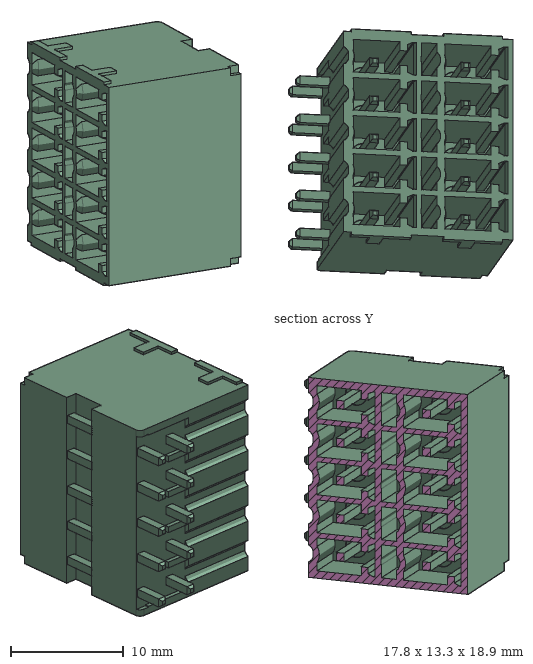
import cadquery as cq


width = 15.25
depth = 13.3
total_height = 18.9
tab_thickness = 0.25
height = total_height - 2 * tab_thickness
half_height = height / 2

row_count = 5
row_pitch = 3.5
column_pitch = 8.24
first_row_height = -(row_count - 1) / 2 * row_pitch
row_heights = [first_row_height + row * row_pitch for row in range(row_count)]
column_offsets = [0, column_pitch]

cavity_depth = 7.33
cavity_half_height = 1.5
cavity_left = 0.87
key_left = 5.05
key_right = 5.75
key_half_gap = 0.68
latch_half_height = 1.27
latch_full_height_x = 6.24
cavity_right = 6.35
lead_in_width = 0.19
lead_in_depth = 0.38

groove_center = -0.4
groove_radius = 0.89
groove_floor = 0.42
bulge_front_radius = 1.32
bulge_radius = 1.47
bulge_taper_depth = 0.57

pocket_left = 7.01
pocket_right = 8.41

pin_x = 3.06
pin_size = 0.8
pin_tip_size = pin_size / 2
tail_taper = 0.26
contact_taper = 0.5
pin_front = 1.32
pin_protrusion = 2.55
back_pin_y = 12.8
seat_radius = 1.0
seat_depth = 0.19

tab_spans = [(0.72, 6.09), (9.02, 14.3)]
tab_bar_depth = 0.74
tab_stem_left = 2.48
tab_stem_width = 1.21
tab_stem_end = 2.57

recess_depth = groove_floor
recess_margin = 0.72
recess_back_margin = 0.65
recess_step_y = 12.23
finger_thickness = 0.57
finger_end = 9.79

slot_left = 6.15
slot_right = 9.34
slot_depth = 1.13
corner_radius = 0.51
corner_notch_width = 0.5
corner_notch_depth = 1.05
corner_notch_height = 0.72


def box(x_range, y_range, z_range):
    """Axis-aligned box between the given limits."""
    sizes = [high - low for low, high in (x_range, y_range, z_range)]
    corner = (x_range[0], y_range[0], z_range[0])
    return cq.Workplane("XY").box(*sizes, centered=False).translate(corner)


def rod(x, z, radius, length):
    """Cylinder along Y that starts at the mating face."""
    return cq.Workplane("XZ").center(x, z).circle(radius).extrude(-length)


def make_housing():
    """Block with its back edge worked: rounded corner, slot, corner notches."""
    body = box((0, width), (0, depth), (-half_height, half_height))
    body = body.edges("|Z and <X and >Y").fillet(corner_radius)
    body = body.cut(box((slot_left, slot_right), (depth - slot_depth, depth), (-half_height, half_height)))
    notch = box(
        (width - corner_notch_width, width),
        (depth - corner_notch_depth, depth),
        (half_height - corner_notch_height, half_height),
    )
    return body.cut(notch).cut(notch.mirror("XY"))


def make_tabs():
    """T-shaped tabs on the top face, mirrored onto the bottom face."""
    z_range = (half_height, half_height + tab_thickness)
    tabs = cq.Workplane("XY")
    for span, offset in zip(tab_spans, column_offsets):
        stem_left = tab_stem_left + offset
        tabs = tabs.union(box(span, (0, tab_bar_depth), z_range))
        tabs = tabs.union(box((stem_left, stem_left + tab_stem_width), (0, tab_stem_end), z_range))
    return tabs.union(tabs.mirror("XY"))


def make_side_recess():
    """Shallow recess around the pin exits, leaving a finger between rows."""
    z_limit = half_height - recess_margin
    z_back_limit = half_height - recess_back_margin
    recess = box((0, recess_depth), (cavity_depth, depth), (-z_limit, z_limit))
    recess = recess.union(box((0, recess_depth), (recess_step_y, depth), (-z_back_limit, z_back_limit)))
    for lower, upper in zip(row_heights, row_heights[1:]):
        middle = (lower + upper) / 2
        z_range = (middle - finger_thickness / 2, middle + finger_thickness / 2)
        recess = recess.cut(box((0, recess_depth), (cavity_depth, finger_end), z_range))
    return recess


def make_cavity():
    """Cutter for one first-column cavity centred on Z = 0."""
    upper = [
        (cavity_left, cavity_half_height),
        (key_left, cavity_half_height),
        (key_left, key_half_gap),
        (key_right, key_half_gap),
        (key_right, latch_half_height),
        (latch_full_height_x, cavity_half_height),
        (cavity_right, cavity_half_height),
    ]
    lower = [(x, -z) for x, z in reversed(upper)]
    cavity = cq.Workplane("XZ").polyline(upper + lower).close().extrude(-cavity_depth)

    lead_in = (
        cq.Workplane("XY")
        .workplane(offset=-cavity_half_height)
        .polyline([(cavity_right, 0), (cavity_right + lead_in_width, 0), (cavity_right, lead_in_depth)])
        .close()
        .extrude(2 * cavity_half_height)
    )

    bulge = (
        cq.Workplane("XY")
        .polyline([
            (groove_center, 0),
            (groove_center + bulge_front_radius, 0),
            (groove_center + bulge_radius, bulge_taper_depth),
            (groove_center + bulge_radius, cavity_depth),
            (groove_center, cavity_depth),
        ])
        .close()
        .revolve(360, (groove_center, 0, 0), (groove_center, 1, 0))
    )
    seat = rod(pin_x, 0, seat_radius, cavity_depth + seat_depth)
    seat = seat.intersect(box((0, width), (cavity_depth, depth), (-half_height, half_height)))
    return cavity.union(lead_in).cut(bulge).union(seat)


def make_side_groove():
    """Cutter for the flat-bottomed round groove in the pin exit side."""
    groove = rod(groove_center, 0, groove_radius, cavity_depth)
    return groove.intersect(box((groove_center, groove_floor), (0, depth), (-half_height, half_height)))


def make_pocket():
    """Cutter for the pocket between columns, with a round groove in its right wall."""
    z_range = (-cavity_half_height, cavity_half_height)
    pocket = box((pocket_left, pocket_right), (0, cavity_depth), z_range)
    return pocket.union(rod(groove_center + column_pitch, 0, groove_radius, cavity_depth))


def make_bar(length, taper):
    """Square bar along +Z whose lower end tapers to a small tip at Z = 0."""
    tip = cq.Workplane("XY").rect(pin_tip_size, pin_tip_size)
    tip = tip.workplane(offset=taper).rect(pin_size, pin_size).loft(ruled=True)
    shank = cq.Workplane("XY").workplane(offset=taper).rect(pin_size, pin_size)
    return tip.union(shank.extrude(length - taper))


def make_pin(x, tail_y):
    """Right-angled pin: a contact along Y that turns into a tail towards -X."""
    half_size = pin_size / 2
    contact = make_bar(tail_y + half_size - pin_front, contact_taper)
    contact = contact.rotate((0, 0, 0), (1, 0, 0), -90).translate((x, pin_front, 0))
    tail = make_bar(x + half_size + pin_protrusion, tail_taper)
    tail = tail.rotate((0, 0, 0), (0, 1, 0), 90).translate((-pin_protrusion, tail_y, 0))
    return contact.union(tail)


housing = make_housing().union(make_tabs()).cut(make_side_recess())

cavity = make_cavity()
row_cutter = make_side_groove().union(make_pocket())
for offset in column_offsets:
    row_cutter = row_cutter.union(cavity.translate((offset, 0, 0)))

first_pin = make_pin(pin_x, back_pin_y - row_pitch)
second_pin = make_pin(pin_x + column_pitch, back_pin_y)

result = housing
for z in row_heights:
    result = result.cut(row_cutter.translate((0, 0, z)))
for z in row_heights:
    result = result.union(first_pin.translate((0, 0, z)))
    result = result.union(second_pin.translate((0, 0, z)))